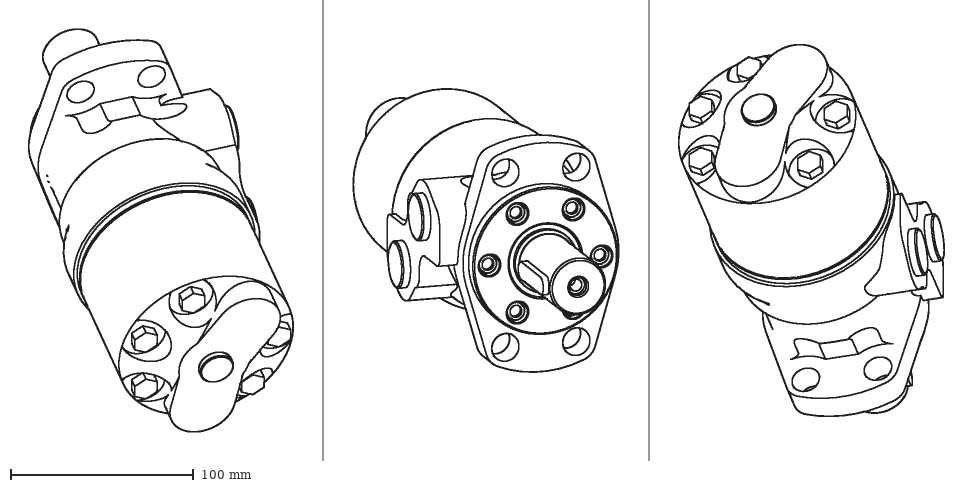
import cadquery as cq
import math


TOTAL_LENGTH = 268.0
COLLAR_START = 55.8
PILOT_START = 58.7
FLANGE_START = 67.0
FLANGE_END = 84.2
BAND_END = 172.0
GROOVE_START = 176.1
COVER_FACE = 248.0
REAR_FACE = 263.3

SHAFT_RADIUS = 15.95
SHAFT_CHAMFER = 1.0
COLLAR_RADIUS = 17.83
COLLAR_CHAMFER = 1.5
SHAFT_INNER_END = FLANGE_END
CENTRE_HOLE_DIAMETER = 6.7
CENTRE_RECESS_DIAMETER = 10.0
CENTRE_RECESS_DEPTH = 4.0
CENTRE_MOUTH_DIAMETER = 11.8
CENTRE_HOLE_DEPTH = 16.0
CENTRE_CONE_ANGLE = 90
KEY_WIDTH = 10.0
KEY_HEIGHT = 8.0
KEY_TOP = 19.0
KEY_START = 3.2
KEY_LENGTH = 45.0

PILOT_RADIUS = 41.5
PILOT_CHAMFER = 0.8
SEAL_RADIUS = 20.6
SEAL_DEPTH = 1.3
SEAL_CHAMFER = 0.8
FLANGE_TIP_RADIUS = 64.75
FLANGE_WAIST_RADIUS = 44.8
MOUNT_HOLE_DIAMETER = 15.5
MOUNT_HOLE_Y = 20.5
MOUNT_HOLE_Z = 49.3
SCREW_COUNT = 6
SCREW_CIRCLE_RADIUS = 32.2
SCREW_RECESS_DIAMETER = 11.8
SCREW_RECESS_CHAMFER = 0.5
SCREW_RECESS_DEPTH = 5.4
SCREW_HEAD_DIAMETER = 10.0
SCREW_HEAD_HEIGHT = 2.5
SCREW_SOCKET_DIAMETER = 6.7

NECK_RADIUS = 40.8
WAIST_RADIUS = 47.2
BAND_RADIUS = 52.0
DRUM_RADIUS = 50.0
FLANGE_FILLET = 3.8
GROOVE_WIDTH = 0.8
GROOVE_DEPTH = 0.5

SCALLOP_RADIUS = 24.0
SCALLOP_Y = 22.8
SCALLOP_Z = 57.5
FLAT_FLOOR = 37.4
SCALLOP_END = 110.7
SCALLOP_FILLET = 14.7
FLAT_END = 104.3
FLAT_FILLET = 8.3

BLOCK_FACE = 55.2
BLOCK_START = 76.1
BLOCK_END = 170.2
BLOCK_CENTRE = (BLOCK_START + BLOCK_END) / 2
PORT_OFFSET_X = 18.2
PORT_OFFSET_Z = 18.0
PORT_PLUG_RADIUS = 26.0 / 2
PORT_PLUG_TOP = 60.0
PORT_PLUG_CHAMFER = 0.8

CONE_END_RADIUS = 20.5
LOBE_RADIUS = 18.8
LOBE_DISTANCE = 30.5
BOLT_COUNT = 7
LOBE_INDICES = (1, 5)
BOLT_CIRCLE_RADIUS = 40.2
BOLT_FLATS = 13.0
BOLT_HEAD_HEIGHT = 5.5
BOLT_POCKET_RADIUS = 13.0
DRAIN_PLUG_RADIUS = 19.0 / 2
DRAIN_PLUG_CHAMFER = 0.5
DRAIN_NECK_RADIUS = 6.7
DRAIN_NECK_DEPTH = 2.7
DRAIN_GAP = 0.8


def section(x):
    """Plane across the motor axis: local x is Y, local y is Z, extruding toward +X."""
    return cq.Workplane("YZ", origin=(x, 0, 0))


def disc(radius, start, end, y=0.0, z=0.0):
    return section(start).center(y, z).circle(radius).extrude(end - start)


def revolved(profile):
    return profile.close().revolve(360, (0, 0, 0), (1, 0, 0))


def polar(radius, angle):
    return radius * math.cos(angle), radius * math.sin(angle)


def make_flange():
    """Flange with large tip arcs, tapered sides and rounded corners about the mounting holes."""
    hole_distance = math.hypot(MOUNT_HOLE_Y, MOUNT_HOLE_Z)
    hole_angle = math.atan2(MOUNT_HOLE_Z, MOUNT_HOLE_Y)
    corner_radius = FLANGE_TIP_RADIUS - hole_distance
    side_angle = hole_angle - math.acos((FLANGE_WAIST_RADIUS - corner_radius) / hole_distance)

    def corner_point(angle):
        dy, dz = polar(corner_radius, angle)
        return MOUNT_HOLE_Y + dy, MOUNT_HOLE_Z + dz

    waist_y, waist_z = polar(FLANGE_WAIST_RADIUS, side_angle)
    low_y, low_z = corner_point(side_angle)
    mid_y, mid_z = corner_point((side_angle + hole_angle) / 2)
    high_y, high_z = corner_point(hole_angle)
    outline = (
        section(FLANGE_START)
        .moveTo(waist_y, -waist_z)
        .threePointArc((FLANGE_WAIST_RADIUS, 0), (waist_y, waist_z))
        .lineTo(low_y, low_z)
        .threePointArc((mid_y, mid_z), (high_y, high_z))
        .threePointArc((0, FLANGE_TIP_RADIUS), (-high_y, high_z))
        .threePointArc((-mid_y, mid_z), (-low_y, low_z))
        .lineTo(-waist_y, waist_z)
        .threePointArc((-FLANGE_WAIST_RADIUS, 0), (-waist_y, -waist_z))
        .lineTo(-low_y, -low_z)
        .threePointArc((-mid_y, -mid_z), (-high_y, -high_z))
        .threePointArc((0, -FLANGE_TIP_RADIUS), (high_y, -high_z))
        .threePointArc((mid_y, -mid_z), (low_y, -low_z))
        .close()
    )
    return outline.extrude(FLANGE_END - FLANGE_START)


def make_body():
    """Revolved pilot, neck, two blended shoulders, band, grooved drum and rear cone."""
    groove_radius = DRUM_RADIUS - GROOVE_DEPTH
    groove_end = GROOVE_START + GROOVE_WIDTH
    return revolved(
        cq.Workplane("XY")
        .moveTo(PILOT_START, 0)
        .lineTo(PILOT_START, PILOT_RADIUS - PILOT_CHAMFER)
        .lineTo(PILOT_START + PILOT_CHAMFER, PILOT_RADIUS)
        .lineTo(FLANGE_START, PILOT_RADIUS)
        .lineTo(FLANGE_END, NECK_RADIUS + FLANGE_FILLET)
        .radiusArc((FLANGE_END + FLANGE_FILLET, NECK_RADIUS), -FLANGE_FILLET)
        .lineTo(119.5, NECK_RADIUS)
        .tangentArcPoint((125.0, 43.0), relative=False)
        .lineTo(127.5, 45.5)
        .tangentArcPoint((131.5, WAIST_RADIUS), relative=False)
        .lineTo(142.0, WAIST_RADIUS)
        .tangentArcPoint((145.8, 48.3), relative=False)
        .lineTo(151.2, 51.2)
        .tangentArcPoint((154.2, BAND_RADIUS), relative=False)
        .lineTo(BAND_END, BAND_RADIUS)
        .lineTo(BAND_END, DRUM_RADIUS)
        .lineTo(GROOVE_START, DRUM_RADIUS)
        .lineTo(GROOVE_START, groove_radius)
        .lineTo(groove_end, groove_radius)
        .lineTo(groove_end, DRUM_RADIUS)
        .lineTo(COVER_FACE, DRUM_RADIUS)
        .lineTo(REAR_FACE, CONE_END_RADIUS)
        .lineTo(REAR_FACE, 0)
    )


def make_port_block():
    """Block on the +Y side. Its outline repeats after half a turn about the block centre."""
    half_length = (BLOCK_END - BLOCK_START) / 2

    def half_outline(profile, sign):
        def place(x, z):
            return sign * x, sign * z

        return (
            profile.lineTo(*place(-half_length, 19.0))
            .threePointArc(place(-45.0, 24.7), place(-40.0, 28.5))
            .lineTo(*place(-28.7, 35.0))
            .threePointArc(place(-18.8, 38.0), place(-7.2, 35.0))
            .lineTo(*place(3.0, 26.0))
            .threePointArc(place(8.3, 23.0), place(10.5, 19.0))
            .lineTo(*place(10.5, 14.2))
            .threePointArc(place(13.5, 7.0), place(20.6, 4.0))
            .lineTo(*place(41.5, 4.0))
            .threePointArc(place(45.5, 2.7), place(half_length, -0.3))
        )

    profile = cq.Workplane("XZ", origin=(BLOCK_CENTRE, BLOCK_FACE, 0)).moveTo(-half_length, 0.3)
    profile = half_outline(profile, 1)
    profile = half_outline(profile, -1)
    return profile.close().extrude(BLOCK_FACE)


def make_bolt_clearance():
    """Cutter above the neck: a round-ended scallop behind each mounting hole, joined by a flat."""
    flat = section(FLANGE_END).center(0, SCALLOP_Z).rect(
        2 * SCALLOP_Y, 2 * (SCALLOP_Z - FLAT_FLOOR)
    )
    cutter = flat.extrude(FLAT_END - FLANGE_END).faces(">X").edges("<Z").fillet(FLAT_FILLET)
    for y in (-SCALLOP_Y, SCALLOP_Y):
        scallop = disc(SCALLOP_RADIUS, FLANGE_END, SCALLOP_END, y, SCALLOP_Z)
        cutter = cutter.union(scallop.faces(">X").edges().fillet(SCALLOP_FILLET))
    return cutter


def make_lobe(angle):
    """Radial lobe on the rear cover with a round outer end."""
    height = REAR_FACE - COVER_FACE
    bar = section(COVER_FACE).center(LOBE_DISTANCE / 2, 0).rect(LOBE_DISTANCE, 2 * LOBE_RADIUS).extrude(height)
    lobe = bar.union(disc(LOBE_RADIUS, COVER_FACE, REAR_FACE, LOBE_DISTANCE, 0))
    return lobe.rotate((0, 0, 0), (1, 0, 0), math.degrees(angle))


def make_bolt_head(y, z):
    """Hexagon head with one flat facing -Y."""
    across_corners = BOLT_FLATS / math.cos(math.pi / 6)
    head = section(COVER_FACE).polygon(6, across_corners).extrude(BOLT_HEAD_HEIGHT)
    return head.rotate((0, 0, 0), (1, 0, 0), 90).translate((0, y, z))


def add_rear_cover(body):
    """Bolt pockets, lobes and bolt heads on the rear cone."""
    angles = [2 * math.pi * index / BOLT_COUNT for index in range(BOLT_COUNT)]
    bolt_places = [
        polar(BOLT_CIRCLE_RADIUS, angle) for index, angle in enumerate(angles) if index not in LOBE_INDICES
    ]
    for y, z in bolt_places:
        body = body.cut(disc(BOLT_POCKET_RADIUS, COVER_FACE, REAR_FACE, y, z))
    for index in LOBE_INDICES:
        body = body.union(make_lobe(angles[index]))
    for y, z in bolt_places:
        body = body.union(make_bolt_head(y, z))
    return body


def cut_flange_screws(body):
    """Recessed front screws, each head standing in its chamfered counterbore."""
    recess_radius = SCREW_RECESS_DIAMETER / 2
    floor = PILOT_START + SCREW_RECESS_DEPTH
    head_top = floor - SCREW_HEAD_HEIGHT
    for index in range(SCREW_COUNT):
        y, z = polar(SCREW_CIRCLE_RADIUS, 2 * math.pi * index / SCREW_COUNT)
        recess = disc(recess_radius, PILOT_START, floor, y, z)
        mouth = cq.Solid.makeCone(
            recess_radius + SCREW_RECESS_CHAMFER,
            recess_radius,
            SCREW_RECESS_CHAMFER,
            cq.Vector(PILOT_START, y, z),
            cq.Vector(1, 0, 0),
        )
        head = disc(SCREW_HEAD_DIAMETER / 2, head_top, floor, y, z)
        socket = disc(SCREW_SOCKET_DIAMETER / 2, head_top, floor, y, z)
        body = body.cut(recess.cut(head).union(socket)).cut(cq.Workplane(mouth))
    return body


def make_shaft_blank():
    """Outer form of the shaft, before its keyway and centre hole."""
    return revolved(
        cq.Workplane("XY")
        .moveTo(0, 0)
        .lineTo(0, SHAFT_RADIUS - SHAFT_CHAMFER)
        .lineTo(SHAFT_CHAMFER, SHAFT_RADIUS)
        .lineTo(COLLAR_START, SHAFT_RADIUS)
        .lineTo(COLLAR_START, COLLAR_RADIUS - COLLAR_CHAMFER)
        .lineTo(COLLAR_START + COLLAR_CHAMFER, COLLAR_RADIUS)
        .lineTo(SHAFT_INNER_END, COLLAR_RADIUS)
        .lineTo(SHAFT_INNER_END, 0)
    )


def make_key():
    """Round-ended key on the +Y side of the shaft."""
    centre_x = KEY_START + KEY_LENGTH / 2
    plane = cq.Workplane("XZ", origin=(centre_x, KEY_TOP, 0))
    return plane.slot2D(KEY_LENGTH, KEY_WIDTH).extrude(KEY_HEIGHT)


def make_shaft(blank, key):
    """Shaft with its keyway and stepped centre hole."""
    hole_radius = CENTRE_HOLE_DIAMETER / 2
    recess_radius = CENTRE_RECESS_DIAMETER / 2
    mouth_radius = CENTRE_MOUTH_DIAMETER / 2
    tip_depth = hole_radius / math.tan(math.radians(CENTRE_CONE_ANGLE / 2))
    centre_hole = revolved(
        cq.Workplane("XY")
        .moveTo(0, 0)
        .lineTo(0, mouth_radius)
        .lineTo(mouth_radius - recess_radius, recess_radius)
        .lineTo(CENTRE_RECESS_DEPTH, recess_radius)
        .lineTo(CENTRE_RECESS_DEPTH, hole_radius)
        .lineTo(CENTRE_HOLE_DEPTH, hole_radius)
        .lineTo(CENTRE_HOLE_DEPTH + tip_depth, 0)
    )
    return blank.cut(key).cut(centre_hole)


def make_seal_recess():
    """Chamfered recess in the pilot face around the shaft collar."""
    return revolved(
        cq.Workplane("XY")
        .moveTo(PILOT_START, 0)
        .lineTo(PILOT_START, SEAL_RADIUS + SEAL_CHAMFER)
        .lineTo(PILOT_START + SEAL_CHAMFER, SEAL_RADIUS)
        .lineTo(PILOT_START + SEAL_DEPTH, SEAL_RADIUS)
        .lineTo(PILOT_START + SEAL_DEPTH, 0)
    )


def make_port_plug(side):
    """Port plug on the block face; side -1 is the port nearer the flange."""
    place = (BLOCK_CENTRE + side * PORT_OFFSET_X, BLOCK_FACE, -side * PORT_OFFSET_Z)
    plug = cq.Workplane("XZ", origin=place).circle(PORT_PLUG_RADIUS).extrude(BLOCK_FACE - PORT_PLUG_TOP)
    return plug.faces(">Y").edges().chamfer(PORT_PLUG_CHAMFER)


def make_drain_plug():
    """Chamfered plug head held just off the cover by its neck."""
    head = disc(DRAIN_PLUG_RADIUS, REAR_FACE + DRAIN_GAP, TOTAL_LENGTH).edges().chamfer(DRAIN_PLUG_CHAMFER)
    neck = disc(DRAIN_NECK_RADIUS, REAR_FACE - DRAIN_NECK_DEPTH, REAR_FACE + DRAIN_GAP)
    return head.union(neck)


def make_housing(shaft_blank, drain_plug):
    """Housing with flange, port block and rear cover, opened for the shaft and the drain plug."""
    housing = make_body().union(make_flange()).union(make_port_block())
    clearance = make_bolt_clearance()
    housing = housing.cut(clearance).cut(clearance.mirror("XY"))
    for y in (-MOUNT_HOLE_Y, MOUNT_HOLE_Y):
        for z in (-MOUNT_HOLE_Z, MOUNT_HOLE_Z):
            housing = housing.cut(disc(MOUNT_HOLE_DIAMETER / 2, FLANGE_START, FLANGE_END, y, z))
    housing = cut_flange_screws(housing)
    housing = add_rear_cover(housing)
    return housing.cut(make_seal_recess()).cut(shaft_blank).cut(drain_plug)


key = make_key()
shaft_blank = make_shaft_blank()
shaft = make_shaft(shaft_blank, key)
port_plugs = [make_port_plug(side) for side in (-1, 1)]
drain_plug = make_drain_plug()
housing = make_housing(shaft_blank, drain_plug)

result = cq.Compound.makeCompound(
    [housing.val(), shaft.val(), key.val(), *[plug.val() for plug in port_plugs], drain_plug.val()]
)